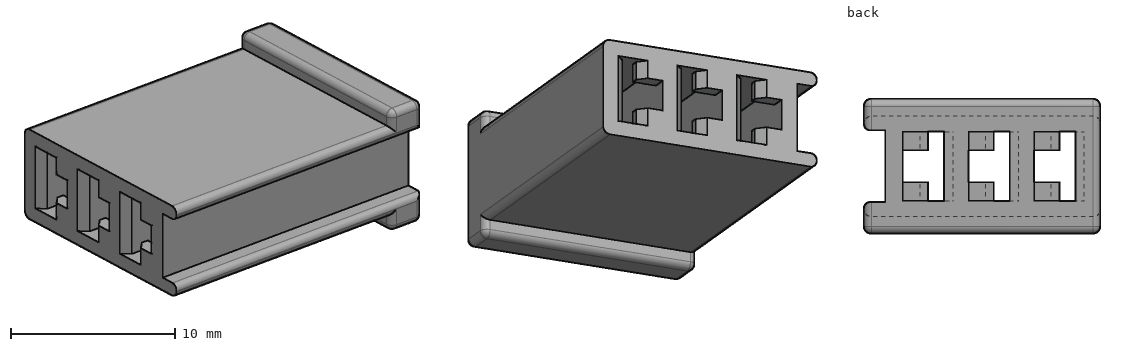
import cadquery as cq

width = 14.4
length = 19.5
flange_height = 8.2
flange_length = 2.5
body_height = 6.1
edge_radius = 0.45

cavity_count = 3
cavity_pitch = 4.0
cavity_left = 1.0
cavity_height = 4.21
slot_width = 2.0
stem_right = cavity_left + 3.02
stem_height = 1.93
lead_in = 0.53
tab_depth = 1.0

groove_depth = 1.3
groove_height = 4.35
lip_radius = 0.4


def block(x_start, x_end, y_start, y_end, height):
    """Box between the given X and Y limits, centred on Z = 0."""
    return cq.Workplane("XY").box(
        x_end - x_start, y_end - y_start, height, centered=(False, False, True)
    ).translate((x_start, y_start, 0))


def make_housing():
    """Rounded body with a taller rounded flange at its rear."""
    body = block(0, width, 0, length - edge_radius, body_height).edges("|Y").fillet(edge_radius)
    flange = block(0, width, length - flange_length, length, flange_height).edges().fillet(edge_radius)
    return body.union(flange)


def make_cavity():
    """T-shaped entry with a tapered mouth, opening into a plain passage behind the tabs."""
    slot_right = cavity_left + slot_width
    throat_left = cavity_left + lead_in
    throat_right = slot_right - lead_in
    mouth = (
        cq.Workplane("XY")
        .polyline([
            (cavity_left, 0),
            (slot_right, 0),
            (throat_right, lead_in),
            (throat_right, tab_depth),
            (throat_left, tab_depth),
            (throat_left, lead_in),
        ])
        .close()
        .extrude(cavity_height / 2, both=True)
    )
    stem = block(throat_left, stem_right, 0, tab_depth, stem_height)
    passage = block(throat_left, stem_right, tab_depth, length, cavity_height)
    return mouth.union(stem).union(passage)


def make_groove():
    """Side groove whose mouth flares to round the inner edges of both lips."""
    floor_x = width - groove_depth
    flare_x = width - lip_radius
    half_height = groove_height / 2
    flare_height = half_height + lip_radius
    arc_offset = lip_radius * 0.5 ** 0.5
    mid_x = flare_x + arc_offset
    mid_z = flare_height - arc_offset
    return (
        cq.Workplane("XZ")
        .moveTo(floor_x, -half_height)
        .lineTo(flare_x, -half_height)
        .threePointArc((mid_x, -mid_z), (width, -flare_height))
        .lineTo(width, flare_height)
        .threePointArc((mid_x, mid_z), (flare_x, half_height))
        .lineTo(floor_x, half_height)
        .close()
        .extrude(-length)
    )


result = make_housing().cut(make_groove())
cavity = make_cavity()
for index in range(cavity_count):
    result = result.cut(cavity.translate((index * cavity_pitch, 0, 0)))